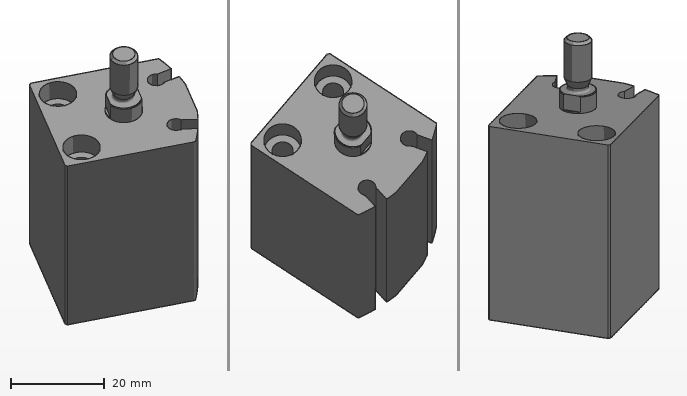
import cadquery as cq
import math

total_height = 61.0
housing_height = 45.0
housing_width = 28.0
housing_depth = 32.0
rod_to_front = 17.0
front_y = -rod_to_front
back_y = housing_depth - rod_to_front
half_width = housing_width / 2
front_chamfer = 0.4
back_fillet = 0.35

crown_flat_half = 4.6
crown_mid_x = 8.65
crown_mid_drop = 1.05
crown_side_drop = 3.2

slot_x = 7.535
slot_drop = 5.6
slot_diameter = 3.8
slot_mouth_width = 3.0
slot_angle = 14.0
slot_cut_length = 2 * slot_drop

mount_spacing = 18.0
mount_to_front = 5.0
mount_diameter = 4.5
counterbore_diameter = 8.0
counterbore_depth = 4.8

collar_diameter = 8.0
collar_height = 3.95
collar_chamfer = 0.2
flat_width = 6.95
flat_start = 0.3
neck_diameter = 4.5
neck_height = 1.1
neck_fillet = 0.5
relief_height = 1.75
thread_diameter = 6.0
thread_chamfer = 0.6


def make_crowned_block():
    side_y = back_y - crown_side_drop
    mid_y = back_y - crown_mid_drop
    return (
        cq.Workplane("XY")
        .moveTo(-half_width, front_y)
        .lineTo(half_width, front_y)
        .lineTo(half_width, side_y)
        .threePointArc((crown_mid_x, mid_y), (crown_flat_half, back_y))
        .lineTo(-crown_flat_half, back_y)
        .threePointArc((-crown_mid_x, mid_y), (-half_width, side_y))
        .close()
        .extrude(housing_height)
        .edges("|Z and <Y")
        .chamfer(front_chamfer)
        .faces("<X or >X")
        .edges("|Z and >Y")
        .fillet(back_fillet)
    )


def make_sensor_slot(side):
    """Full-height slot; side is -1 for the left one and +1 for the right one."""
    channel = cq.Workplane("XY").circle(slot_diameter / 2).extrude(housing_height)
    mouth = (
        cq.Workplane("XY")
        .rect(slot_mouth_width, slot_cut_length)
        .extrude(housing_height)
        .translate((0, slot_cut_length / 2, 0))
        .rotate((0, 0, 0), (0, 0, 1), -side * slot_angle)
    )
    return channel.union(mouth).translate((side * slot_x, back_y - slot_drop, 0))


def make_housing():
    body = make_crowned_block()
    for side in (-1, 1):
        body = body.cut(make_sensor_slot(side))
    mount_y = front_y + mount_to_front
    return (
        body.faces(">Z")
        .workplane(origin=(0, 0, housing_height))
        .pushPoints([(-mount_spacing / 2, mount_y), (mount_spacing / 2, mount_y)])
        .cboreHole(mount_diameter, counterbore_diameter, counterbore_depth)
    )


def make_rod():
    """Rod turned about Z, standing on the housing, with two flats on its collar."""
    collar_radius = collar_diameter / 2
    neck_radius = neck_diameter / 2
    thread_radius = thread_diameter / 2
    collar_top = housing_height + collar_height
    neck_top = collar_top + neck_height
    thread_start = neck_top + relief_height
    fillet_bulge = neck_fillet * (1 - math.sqrt(0.5))
    rod = (
        cq.Workplane("XZ")
        .moveTo(0, housing_height)
        .lineTo(collar_radius, housing_height)
        .lineTo(collar_radius, collar_top - collar_chamfer)
        .lineTo(collar_radius - collar_chamfer, collar_top)
        .lineTo(neck_radius + neck_fillet, collar_top)
        .threePointArc(
            (neck_radius + fillet_bulge, collar_top + fillet_bulge),
            (neck_radius, collar_top + neck_fillet),
        )
        .lineTo(neck_radius, neck_top)
        .lineTo(thread_radius, thread_start)
        .lineTo(thread_radius, total_height - thread_chamfer)
        .lineTo(thread_radius - thread_chamfer, total_height)
        .lineTo(0, total_height)
        .close()
        .revolve(360, (0, 0), (0, 1))
    )
    flat_height = collar_height - flat_start
    flat_z = housing_height + flat_start + flat_height / 2
    for side in (-1, 1):
        cutter = cq.Workplane("XY").box(collar_diameter, collar_diameter, flat_height)
        cutter_y = side * (flat_width + collar_diameter) / 2
        rod = rod.cut(cutter.translate((0, cutter_y, flat_z)))
    return rod


housing = make_housing()
rod = make_rod()

result = cq.Compound.makeCompound([housing.val(), rod.val()])